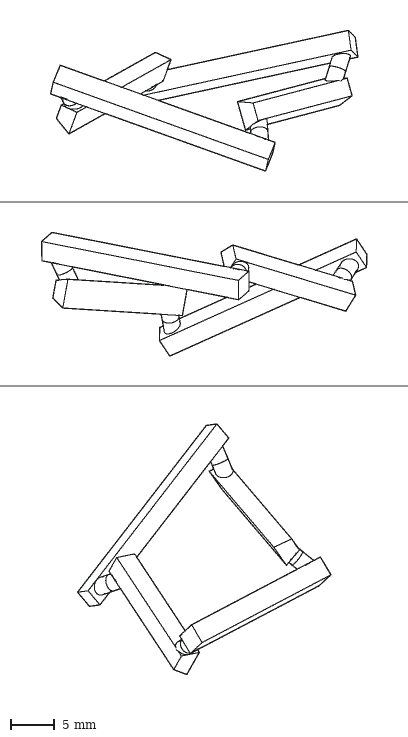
import cadquery as cq
import math


LOW_HINGE = cq.Vector(-10.8, 0.2, -1.55)
LOW_AXIS = cq.Vector(0.69, -0.43, 0.58).normalized()
HIGH_HINGE = cq.Vector(-5.13, -15.1, 1.05)
HIGH_AXIS = cq.Vector(0.27, -0.55, 0.78).normalized()

PIN_RADIUS = 1.0
PIN_BLANK_LENGTH = 4.4
PIN_ROOT_HEIGHT = 1.1
BAR_LEAN = -57.5

SHORT_LENGTH = 16.9
SHORT_DEPTH = 2.25
SHORT_MEAN_WIDTH = 2.75
SHORT_OFFSET = -0.45

LONG_LENGTH = 26.15
LONG_ACROSS_FLATS = 2.35
LONG_OFFSET = -1.72


def half_turn(vector):
    """Turn a point or direction by 180 degrees about Z."""
    return cq.Vector(-vector.x, -vector.y, vector.z)


def lean_about(axis, direction):
    """Turn a direction square to the axis by the bar lean."""
    lean = math.radians(BAR_LEAN)
    return direction * math.cos(lean) + axis.cross(direction) * math.sin(lean)


def bar_plane(hinges, pin_directions, offset):
    """Section plane at mid-bar; its X is the symmetry axis of the link, its normal the bar axis."""
    first, second = pin_directions
    symmetry_axis = (first + second).normalized()
    bar_axis = lean_about(symmetry_axis, (first - second).normalized())
    centre = (hinges[0] + hinges[1]) * 0.5 + symmetry_axis * offset
    return cq.Plane(centre, symmetry_axis, bar_axis)


def side_angle(plane, pin_direction):
    """Angle, seen along the bar, between the pinned side and the symmetry axis."""
    along = abs(pin_direction.dot(plane.xDir))
    across = abs(pin_direction.dot(plane.yDir))
    return math.atan2(along, across)


def trapezoid(plane, pin_direction):
    half_depth = SHORT_DEPTH / 2
    spread = half_depth * math.tan(side_angle(plane, pin_direction))
    narrow = SHORT_MEAN_WIDTH / 2 - spread
    wide = SHORT_MEAN_WIDTH / 2 + spread
    return [(half_depth, narrow), (-half_depth, wide), (-half_depth, -wide), (half_depth, -narrow)]


def rhombus(plane, pin_direction):
    angle = side_angle(plane, pin_direction)
    half_along = LONG_ACROSS_FLATS / 2 / math.sin(angle)
    half_across = LONG_ACROSS_FLATS / 2 / math.cos(angle)
    return [(half_along, 0), (0, half_across), (-half_along, 0), (0, -half_across)]


def pin_stub(plane, hinge, outward):
    """Pin from its hinge face into the bar, trimmed just below the pinned side."""
    blank = cq.Solid.makeCylinder(PIN_RADIUS, PIN_BLANK_LENGTH, hinge, -outward)
    bar_axis = plane.zDir
    side_normal = (outward - bar_axis * outward.dot(bar_axis)).normalized()
    root = cq.Plane(plane.origin + side_normal * PIN_ROOT_HEIGHT, bar_axis, side_normal)
    trim_size = 2 * LONG_LENGTH
    below_root = cq.Workplane(root).rect(trim_size, trim_size).extrude(-trim_size)
    return cq.Workplane(obj=blank).cut(below_root)


def make_link(hinges, pin_directions, section, length, offset):
    """One bar with a pin stub reaching out to the hinge face at each end."""
    plane = bar_plane(hinges, pin_directions, offset)
    outline = section(plane, pin_directions[0])
    link = cq.Workplane(plane).polyline(outline).close().extrude(length / 2, both=True)
    for hinge, outward in zip(hinges, pin_directions):
        link = link.union(pin_stub(plane, hinge, outward))
    return link


def make_short_link():
    return make_link((HIGH_HINGE, LOW_HINGE), (HIGH_AXIS, -LOW_AXIS), trapezoid, SHORT_LENGTH, SHORT_OFFSET)


def make_long_link():
    hinges = (HIGH_HINGE, half_turn(LOW_HINGE))
    pin_directions = (-HIGH_AXIS, half_turn(LOW_AXIS))
    return make_link(hinges, pin_directions, rhombus, LONG_LENGTH, LONG_OFFSET)


bodies = []
for link in (make_short_link(), make_long_link()):
    for turn in (0, 180):
        bodies.append(link.rotate((0, 0, 0), (0, 0, 1), turn).val())

result = cq.Compound.makeCompound(bodies)